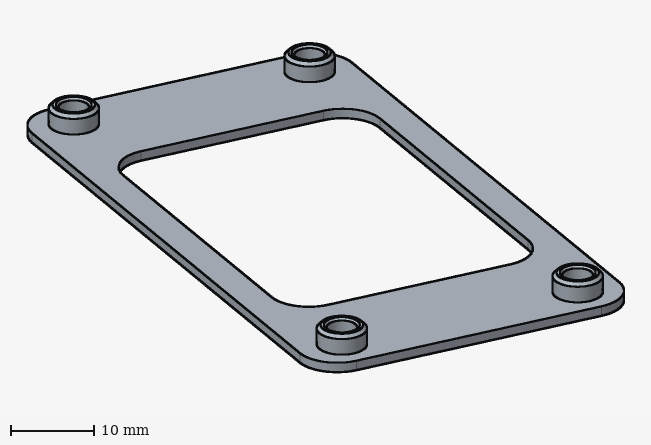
import cadquery as cq

plate_length = 80.0
plate_width = 43.4
plate_thickness = 1.3
corner_radius = 5.0

window_length = 48.8
window_width = 34.8
window_radius = 5.0

boss_spacing_x = 70.0
boss_spacing_y = 32.0
boss_diameter = 6.1
boss_height = 2.6
boss_chamfer = 0.5
hole_diameter = 3.7
mouth_chamfer = 0.3


def rounded_slab(length, width, radius):
    """Slab of plate thickness standing on Z = 0, with rounded vertical edges."""
    slab = cq.Workplane("XY").box(length, width, plate_thickness, centered=(True, True, False))
    return slab.edges("|Z").fillet(radius)


def at_bosses(z):
    """Workplane at height z with one point on each boss axis."""
    return cq.Workplane("XY", origin=(0, 0, z)).rarray(boss_spacing_x, boss_spacing_y, 2, 2)


total_height = plate_thickness + boss_height

plate = rounded_slab(plate_length, plate_width, corner_radius)
window = rounded_slab(window_length, window_width, window_radius)

bosses = at_bosses(plate_thickness).circle(boss_diameter / 2).extrude(boss_height)
bosses = bosses.faces(">Z").edges().chamfer(boss_chamfer)

holes = at_bosses(0).circle(hole_diameter / 2).extrude(total_height)
mouths = at_bosses(total_height).circle(hole_diameter / 2 + mouth_chamfer).extrude(-mouth_chamfer, taper=45)

result = plate.cut(window).union(bosses).cut(holes).cut(mouths)